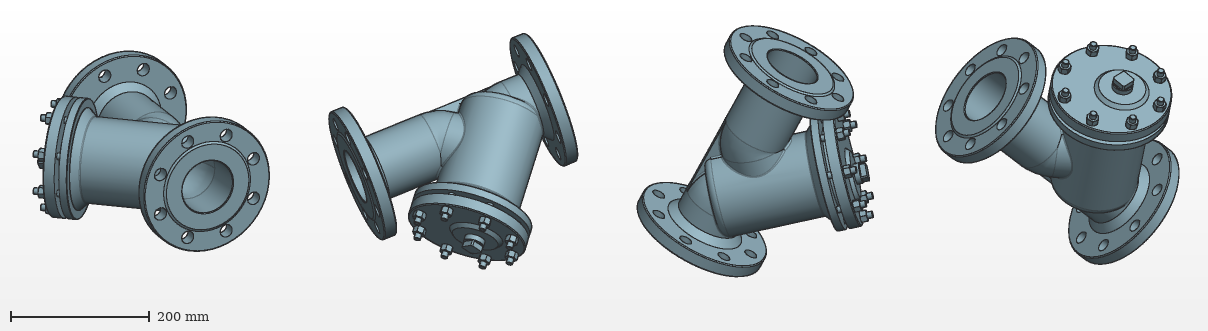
import cadquery as cq
import math


LENGTH = 310.0
PIPE_DIA = 96.0
BORE_DIA = 80.0
BORE_MOUTH_CHAMFER = 1.2
FLANGE_DIA = 200.0
FLANGE_THICKNESS = 20.0
FLANGE_EDGE_CHAMFER = 1.5
RAISED_FACE_DIA = 138.0
RAISED_FACE_HEIGHT = 2.0
RAISED_FACE_CHAMFER = 3.5
NECK_DIA = 118.5
FLANGE_HOLE_DIA = 19.0
FLANGE_HOLE_CIRCLE = 160.0
BOLT_COUNT = 8

BRANCH_TILT = 40.0
INLET_BEND_ANGLE = BRANCH_TILT
OUTLET_BEND_ANGLE = 90.0 - BRANCH_TILT
BEND_RADIUS = 31.0
INLET_BEND_X = -33.8
OUTLET_BEND_X = 93.0
WEB_THICKNESS = 9.3
JOINT_FILLET = 2.2

BRANCH_DIA = 126.0
BRANCH_START = -11.8
BRANCH_END_FILLET = 11.8
BRANCH_NECK_START = 141.0
BRANCH_NECK_GROWTH = 11.8
BRANCH_FLANGE_DIA = 176.0
BRANCH_FLANGE_START = 153.5
BRANCH_FLANGE_THICKNESS = 12.0
BRANCH_FLANGE_CHAMFER = 1.0
COVER_GAP = 6.8
COVER_THICKNESS = 17.5
COVER_CHAMFER = 1.5

BOSS_OFFSET = 14.5
BOSS_DIA = 80.0
BOSS_TOP_DIA = 68.8
BOSS_HEIGHT = 6.0
PLUG_DIA = 30.0
PLUG_COLLAR_HEIGHT = 8.0
PLUG_SQUARE = 22.5
PLUG_HEAD_DIA = 29.0
PLUG_HEAD_HEIGHT = 9.5
PLUG_HEAD_FLARE = 1.2

BOLT_CIRCLE = 150.0
BOLT_DIA = 10.0
BOLT_TIP_DIA = 8.5
BOLT_DEPTH = 8.5
BOLT_TIP_LENGTH = 18.3
NUT_SIDES = 6
NUT_ACROSS_FLATS = 16.0
NUT_HEIGHT = 10.0
NUT_CHAMFER_HEIGHT = 1.0

HALF_LENGTH = LENGTH / 2
PIPE_RADIUS = PIPE_DIA / 2
BORE_RADIUS = BORE_DIA / 2
BOLT_HALF_PITCH = 180.0 / BOLT_COUNT
BRANCH_FLANGE_END = BRANCH_FLANGE_START + BRANCH_FLANGE_THICKNESS
COVER_START = BRANCH_FLANGE_END + COVER_GAP
COVER_END = COVER_START + COVER_THICKNESS
OUTLET_TANGENT = BEND_RADIUS * math.tan(math.radians(OUTLET_BEND_ANGLE / 2))
BRANCH_X = OUTLET_BEND_X - OUTLET_TANGENT

TILT_SIN = math.sin(math.radians(BRANCH_TILT))
TILT_COS = math.cos(math.radians(BRANCH_TILT))
ALONG_BRANCH = cq.Vector(-TILT_SIN, -TILT_COS, 0)
ACROSS_BRANCH = cq.Vector(TILT_COS, -TILT_SIN, 0)
BRANCH_ORIGIN = cq.Vector(BRANCH_X, 0, 0)
BRANCH_BACK = cq.selectors.DirectionMinMaxSelector(ALONG_BRANCH, False)
BRANCH_FRONT = cq.selectors.DirectionMinMaxSelector(ALONG_BRANCH, True)
SURFACE_TOLERANCE = 0.003


def branch_plane(distance, offset=0.0):
    """Plane square to the branch axis; its local Y is the part's Z."""
    origin = BRANCH_ORIGIN + ALONG_BRANCH * distance + ACROSS_BRANCH * offset
    return cq.Workplane(cq.Plane(origin, ACROSS_BRANCH, ALONG_BRANCH))


def run_cylinder(radius, x_start, x_end):
    return cq.Workplane("YZ", origin=(x_start, 0, 0)).circle(radius).extrude(x_end - x_start)


def bend(radius, x, angle, direction):
    """Half-moon of a pipe section at x, swung towards -Y about a vertical axis inside the section.

    The direction is 1 to swing towards +X and -1 to swing towards -X.
    """
    half_moon = (
        cq.Sketch().circle(radius)
        .push([(-BEND_RADIUS - radius, 0)]).rect(2 * radius, 2 * radius, mode="s")
    )
    return (
        cq.Workplane("YZ", origin=(x, 0, 0)).placeSketch(half_moon)
        .revolve(angle, (-BEND_RADIUS, 0, 0), (-BEND_RADIUS, -direction, 0))
    )


def inlet_passage(radius):
    """Straight inlet, bend, and the stretch that meets the branch axis at a right angle."""
    bend_end = cq.Vector(
        INLET_BEND_X + BEND_RADIUS * TILT_SIN, -BEND_RADIUS + BEND_RADIUS * TILT_COS, 0
    )
    reach = (BRANCH_ORIGIN - bend_end).dot(ACROSS_BRANCH)
    entry = cq.Workplane(cq.Plane(bend_end, (0, 0, 1), ACROSS_BRANCH)).circle(radius).extrude(reach)
    straight = run_cylinder(radius, -HALF_LENGTH, INLET_BEND_X)
    return straight.union(bend(radius, INLET_BEND_X, INLET_BEND_ANGLE, 1)).union(entry)


def outlet_passage(radius, branch_end):
    """Straight outlet, bend, and the stretch that runs along the branch axis."""
    straight = run_cylinder(radius, OUTLET_BEND_X, HALF_LENGTH)
    along = branch_plane(OUTLET_TANGENT).circle(radius).extrude(branch_end - OUTLET_TANGENT)
    return straight.union(bend(radius, OUTLET_BEND_X, OUTLET_BEND_ANGLE, -1)).union(along)


def end_flange():
    """Flange with raised face and conical weld neck at the -X end of the run."""
    face_radius = RAISED_FACE_DIA / 2
    flange_radius = FLANGE_DIA / 2
    neck_radius = NECK_DIA / 2
    back = RAISED_FACE_HEIGHT + FLANGE_THICKNESS
    profile = [
        (0, 0),
        (0, face_radius - RAISED_FACE_CHAMFER),
        (RAISED_FACE_HEIGHT, face_radius),
        (RAISED_FACE_HEIGHT, flange_radius - FLANGE_EDGE_CHAMFER),
        (RAISED_FACE_HEIGHT + FLANGE_EDGE_CHAMFER, flange_radius),
        (back - FLANGE_EDGE_CHAMFER, flange_radius),
        (back, flange_radius - FLANGE_EDGE_CHAMFER),
        (back, neck_radius),
        (back + neck_radius - PIPE_RADIUS, PIPE_RADIUS),
        (back + neck_radius - PIPE_RADIUS, 0),
    ]
    flange = (
        cq.Workplane("XY", origin=(-HALF_LENGTH, 0, 0))
        .polyline(profile).close()
        .revolve(360, (0, 0, 0), (1, 0, 0))
    )
    holes = (
        cq.Workplane("YZ", origin=(-HALF_LENGTH, 0, 0))
        .polarArray(FLANGE_HOLE_CIRCLE / 2, BOLT_HALF_PITCH, 360, BOLT_COUNT)
        .circle(FLANGE_HOLE_DIA / 2).extrude(back)
    )
    return flange.cut(holes)


def bore_mouth():
    """Cone that bevels the mouth of the bore at the -X end."""
    return cq.Workplane(cq.Solid.makeCone(
        BORE_RADIUS + BORE_MOUTH_CHAMFER, BORE_RADIUS, BORE_MOUTH_CHAMFER,
        cq.Vector(-HALF_LENGTH, 0, 0), cq.Vector(1, 0, 0),
    ))


def joint_edges(joined, first, second):
    """Edges of the joined body that lie on the surface of both of its parts."""
    shells = [first.val().Shells()[0], second.val().Shells()[0]]
    on_joint = []
    for edge in joined.edges().vals():
        probes = [cq.Vertex.makeVertex(*edge.positionAt(place).toTuple()) for place in (0.3, 0.7)]
        if all(shell.distance(probe) < SURFACE_TOLERANCE for shell in shells for probe in probes):
            on_joint.append(edge)
    return on_joint


def join_filleted(first, second):
    joined = first.union(second)
    return joined.newObject(joint_edges(joined, first, second)).fillet(JOINT_FILLET)


def branch_barrel():
    return (
        branch_plane(BRANCH_START).circle(BRANCH_DIA / 2)
        .extrude(BRANCH_NECK_START - BRANCH_START)
        .faces(BRANCH_BACK).edges().fillet(BRANCH_END_FILLET)
    )


def branch_neck():
    """45 degree cone with a short cylindrical land against the branch flange."""
    neck_radius = BRANCH_DIA / 2 + BRANCH_NECK_GROWTH
    cone_end = BRANCH_NECK_START + BRANCH_NECK_GROWTH
    cone = cq.Solid.makeCone(
        BRANCH_DIA / 2, neck_radius, BRANCH_NECK_GROWTH,
        BRANCH_ORIGIN + ALONG_BRANCH * BRANCH_NECK_START, ALONG_BRANCH,
    )
    land = branch_plane(cone_end).circle(neck_radius).extrude(BRANCH_FLANGE_START - cone_end)
    return land.union(cq.Workplane(cone))


def branch_flange():
    """Flange at the open end of the branch and the narrower ring that carries the cover."""
    flange = (
        branch_plane(BRANCH_FLANGE_START).circle(BRANCH_FLANGE_DIA / 2).extrude(BRANCH_FLANGE_THICKNESS)
        .faces(BRANCH_BACK).edges().chamfer(BRANCH_FLANGE_CHAMFER)
    )
    joint_ring = branch_plane(BRANCH_FLANGE_END).circle(BRANCH_DIA / 2).extrude(COVER_GAP)
    return flange.union(joint_ring)


def web_block(half_height):
    """Block over the notch between the two bends, flush with the +Y side of the run."""
    return (
        cq.Workplane("XY")
        .moveTo(INLET_BEND_X, 0).lineTo(INLET_BEND_X, PIPE_RADIUS)
        .lineTo(OUTLET_BEND_X, PIPE_RADIUS).lineTo(OUTLET_BEND_X, 0).close()
        .extrude(half_height, both=True)
    )


def web_fillet_section(plane, wall):
    """Both fillets between the web and a wall that stands at the given local X, as one outline."""
    half_web = WEB_THICKNESS / 2
    top = half_web + JOINT_FILLET
    inside = wall - JOINT_FILLET
    outside = wall + JOINT_FILLET
    arc_middle = JOINT_FILLET * (1 - math.sqrt(0.5))
    return (
        cq.Workplane(plane)
        .moveTo(inside, -top).lineTo(wall, -top)
        .threePointArc((wall + arc_middle, -half_web - arc_middle), (outside, -half_web))
        .lineTo(outside, half_web)
        .threePointArc((wall + arc_middle, half_web + arc_middle), (wall, top))
        .lineTo(inside, top).close()
    )


def web_bend_fillet(x, angle, direction):
    """Fillets between the web and the outer wall of a bend."""
    bend_centre_plane = cq.Plane((x, -BEND_RADIUS, 0), (0, 1, 0), (1, 0, 0))
    section = web_fillet_section(bend_centre_plane, BEND_RADIUS + PIPE_RADIUS)
    return section.revolve(angle, (0, 0, 0), (0, -direction, 0))


def web_branch_fillet():
    """Fillets between the web and the straight side of the branch, starting inside the inlet pipe."""
    start = BRANCH_ORIGIN + ALONG_BRANCH * PIPE_RADIUS
    length = PIPE_RADIUS - BRANCH_START - BRANCH_END_FILLET
    plane = cq.Plane(start, ACROSS_BRANCH * -1, ALONG_BRANCH * -1)
    return web_fillet_section(plane, BRANCH_DIA / 2).extrude(length)


def web():
    """Mid-plane web that closes the notch between the two bends."""
    fillets = web_bend_fillet(INLET_BEND_X, INLET_BEND_ANGLE, 1)
    fillets = fillets.union(web_bend_fillet(OUTLET_BEND_X, OUTLET_BEND_ANGLE, -1))
    fillets = fillets.union(web_branch_fillet())
    fillets = fillets.intersect(web_block(WEB_THICKNESS))
    return web_block(WEB_THICKNESS / 2).union(fillets)


def cover():
    plate = (
        branch_plane(COVER_START).circle(BRANCH_FLANGE_DIA / 2).extrude(COVER_THICKNESS)
        .faces(BRANCH_FRONT).edges().chamfer(COVER_CHAMFER)
    )
    boss_centre = BRANCH_ORIGIN + ALONG_BRANCH * COVER_END + ACROSS_BRANCH * BOSS_OFFSET
    boss = cq.Solid.makeCone(BOSS_DIA / 2, BOSS_TOP_DIA / 2, BOSS_HEIGHT, boss_centre, ALONG_BRANCH)
    return plate.union(cq.Workplane(boss)).union(drain_plug())


def drain_plug():
    """Round collar with a square head that flares at its foot and has turned-down corners."""
    collar_start = COVER_END + BOSS_HEIGHT
    head_start = collar_start + PLUG_COLLAR_HEIGHT
    collar = branch_plane(collar_start, BOSS_OFFSET).circle(PLUG_DIA / 2).extrude(PLUG_COLLAR_HEIGHT)
    turned = branch_plane(head_start, BOSS_OFFSET).circle(PLUG_HEAD_DIA / 2).extrude(PLUG_HEAD_HEIGHT)
    foot_square = PLUG_SQUARE + 2 * PLUG_HEAD_FLARE
    head_plane = branch_plane(head_start, BOSS_OFFSET).transformed(rotate=(0, 0, 45))
    square = head_plane.rect(PLUG_SQUARE, PLUG_SQUARE).extrude(PLUG_HEAD_HEIGHT)
    foot = head_plane.rect(foot_square, foot_square).extrude(PLUG_HEAD_FLARE, taper=45)
    return collar.union(square.union(foot).intersect(turned))


def cover_bolt(angle):
    """Stud with its nut, at the given angle on the cover bolt circle."""
    centre = (
        BOLT_CIRCLE / 2 * math.cos(math.radians(angle)),
        BOLT_CIRCLE / 2 * math.sin(math.radians(angle)),
    )
    stud_start = BRANCH_FLANGE_END - BOLT_DEPTH
    stud = (
        branch_plane(stud_start).center(*centre).circle(BOLT_DIA / 2)
        .extrude(COVER_END + BOLT_TIP_LENGTH - stud_start)
        .faces(BRANCH_FRONT).edges().chamfer((BOLT_DIA - BOLT_TIP_DIA) / 2)
    )
    nut_corner_dia = NUT_ACROSS_FLATS / math.cos(math.pi / NUT_SIDES)
    nut = (
        branch_plane(COVER_END).center(*centre).transformed(rotate=(0, 0, angle + BOLT_HALF_PITCH))
        .polygon(NUT_SIDES, nut_corner_dia).extrude(NUT_HEIGHT)
    )
    turned = (
        branch_plane(COVER_END).center(*centre).circle(nut_corner_dia / 2).extrude(NUT_HEIGHT)
        .edges("%CIRCLE").chamfer(NUT_CHAMFER_HEIGHT, (nut_corner_dia - NUT_ACROSS_FLATS) / 2)
    )
    return stud.union(nut.intersect(turned))


def strainer_body(bolts):
    """Run, branch, cover and plug in one piece, bored through and seated for the bolts."""
    pipes = inlet_passage(PIPE_RADIUS).union(outlet_passage(PIPE_RADIUS, BRANCH_NECK_START))
    body = join_filleted(pipes, join_filleted(branch_barrel(), branch_neck()))
    inlet_flange = end_flange()
    body = body.union(web()).union(inlet_flange).union(inlet_flange.mirror("YZ"))
    body = body.union(branch_flange()).union(cover())
    body = body.cut(inlet_passage(BORE_RADIUS)).cut(outlet_passage(BORE_RADIUS, COVER_START))
    body = body.cut(bore_mouth()).cut(bore_mouth().mirror("YZ"))
    return cq.Workplane(body.val().cut(*[bolt.val() for bolt in bolts]))


bolts = [cover_bolt(BOLT_HALF_PITCH * (2 * index + 1)) for index in range(BOLT_COUNT)]
body = strainer_body(bolts)

result = cq.Compound.makeCompound([body.solids().val(), *[bolt.solids().val() for bolt in bolts]])